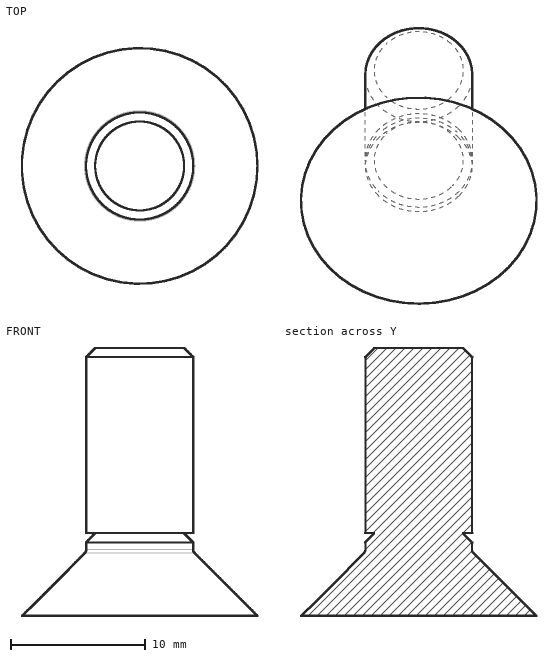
import cadquery as cq
import math

total_height = 20.0
head_radius = 8.8
shank_radius = 4.0
core_radius = 3.32
neck_top = 5.5
fillet_radius = 0.4

chamfer = shank_radius - core_radius
thread_start = neck_top + chamfer

cone_top = head_radius - shank_radius

cone_angle = math.radians(45)
blend_x = shank_radius + fillet_radius
blend_z = cone_top + fillet_radius * math.tan(cone_angle / 2)


def blend_point(angle):
    """Point on the blend arc, turned by angle from the neck towards the cone."""
    return (
        blend_x - fillet_radius * math.cos(angle),
        blend_z - fillet_radius * math.sin(angle),
    )


profile = (
    cq.Workplane("XZ")
    .lineTo(head_radius, 0)
    .lineTo(*blend_point(cone_angle))
    .threePointArc(blend_point(cone_angle / 2), blend_point(0))
    .lineTo(shank_radius, neck_top)
    .lineTo(core_radius, thread_start)
    .lineTo(shank_radius, thread_start)
    .lineTo(shank_radius, total_height - chamfer)
    .lineTo(core_radius, total_height)
    .lineTo(0, total_height)
    .close()
)

result = profile.revolve(360, (0, 0, 0), (0, 1, 0))